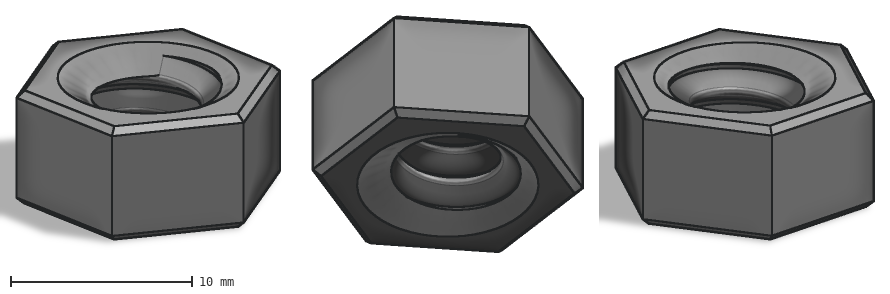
import cadquery as cq
import math

across_corners = 15.01
height = 6.8
edge_chamfer = 0.4

countersink_radius = 5.0
countersink_slope = math.tan(math.radians(30))

pitch = 2.1
root_radius = 4.2
flank_slope = math.tan(math.radians(30))
root_flat = pitch / 8
crest_chord = pitch / 4
start_angle = 94.0
root_overlap = 0.15
spare_turns = 1

ridge_half_width = (pitch - root_flat) / 2
thread_depth = (ridge_half_width - crest_chord / 2) / flank_slope
chord_radius = root_radius - thread_depth
crest_bulge = crest_chord / 2 * flank_slope
crest_radius = chord_radius - crest_bulge
core_clearance = 0.06
core_radius = crest_radius - core_clearance


def make_body():
    """Chamfered hexagon with two corners on the Y axis."""
    hexagon = cq.Workplane("XY").polygon(6, across_corners).extrude(height)
    hexagon = hexagon.rotate((0, 0, 0), (0, 0, 1), 30)
    return hexagon.faces("<Z or >Z").chamfer(edge_chamfer)


def make_countersunk_core():
    """Space left clear at the middle, opening into a countersink at each end."""
    depth = (countersink_radius - core_radius) * countersink_slope
    return (
        cq.Workplane("XZ")
        .lineTo(countersink_radius, 0)
        .lineTo(core_radius, depth)
        .lineTo(core_radius, height - depth)
        .lineTo(countersink_radius, height)
        .lineTo(0, height)
        .close()
        .revolve(360, (0, 0, 0), (0, 1, 0))
    )


def make_ridge():
    """Helical ridge, longer than the body at both ends."""
    ridge_top = height - (countersink_radius - root_radius) * countersink_slope
    top_turn_center = ridge_top - ridge_half_width
    turns_below = math.ceil(height / pitch) + spare_turns
    bottom = top_turn_center - turns_below * pitch
    length = (turns_below + spare_turns) * pitch
    buried_radius = root_radius + root_overlap
    buried_half_width = ridge_half_width + root_overlap * flank_slope
    path = cq.Wire.makeHelix(pitch, length, root_radius)
    ridge = (
        cq.Workplane("XZ")
        .moveTo(buried_radius, -buried_half_width)
        .lineTo(chord_radius, -crest_chord / 2)
        .threePointArc((crest_radius, 0), (chord_radius, crest_chord / 2))
        .lineTo(buried_radius, buried_half_width)
        .close()
        .sweep(cq.Workplane(path), isFrenet=True)
    )
    return ridge.rotate((0, 0, 0), (0, 0, 1), start_angle).translate((0, 0, bottom))


body = make_body()
thread = make_ridge().intersect(body)
root_bore = cq.Workplane("XY").circle(root_radius).extrude(height)
result = body.cut(root_bore).union(thread).cut(make_countersunk_core())